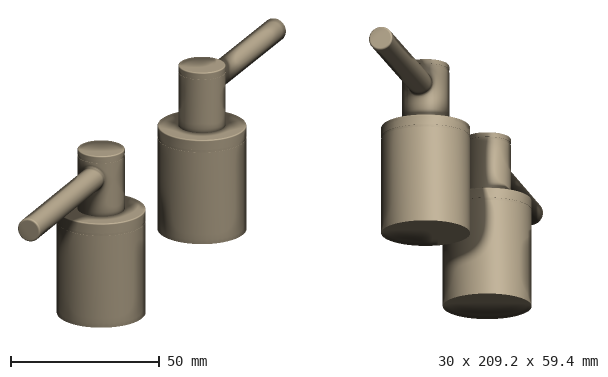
import cadquery as cq

overall_length = 209.2
base_diameter = 30.0
base_height = 37.2
base_seam_height = 32.8
post_diameter = 16.0
handle_height = 58.8
post_seam_drop = 2.5
seam_depth = 0.1
seam_width = 0.8
edge_round = 0.5

lever_diameter = 8.2
lever_axis_height = 50.5
lever_reach = 61.7
lever_tip_round = 0.6
lever_root_fillet = 0.6

axis_offset = overall_length / 2 - lever_reach
rear_lift = 0.6
rear_turn = -0.3


def make_seam(diameter, bottom):
    """Ring that cuts a hairline groove around a cylinder."""
    return (
        cq.Workplane("XY")
        .workplane(offset=bottom)
        .circle(diameter / 2 + seam_depth)
        .circle(diameter / 2 - seam_depth)
        .extrude(seam_width)
    )


def make_base():
    base = cq.Workplane("XY").circle(base_diameter / 2).extrude(base_height)
    base = base.faces(">Z").edges().fillet(edge_round)
    return base.cut(make_seam(base_diameter, base_seam_height))


def make_post():
    post = cq.Workplane("XY").circle(post_diameter / 2).extrude(handle_height)
    post = post.faces(">Z").edges().fillet(edge_round)
    return post.cut(make_seam(post_diameter, handle_height - post_seam_drop))


def make_lever():
    """Round bar from the post axis toward -Y."""
    return (
        cq.Workplane("XZ")
        .center(0, lever_axis_height)
        .circle(lever_diameter / 2)
        .extrude(lever_reach)
        .faces("<Y")
        .edges()
        .fillet(lever_tip_round)
    )


def make_handle(side, turn, lift):
    """One handle; side is -1 at the front and +1 at the rear, turn is in degrees about Z."""
    handle = make_base().union(make_post()).union(make_lever())
    root_zone = cq.selectors.BoxSelector(
        (-lever_diameter, -post_diameter, lever_axis_height - lever_diameter),
        (lever_diameter, -post_diameter / 4, lever_axis_height + lever_diameter / 2 + lever_root_fillet),
    )
    handle = handle.edges(root_zone).fillet(lever_root_fillet)
    return handle.rotate((0, 0, 0), (0, 0, 1), turn).translate((0, side * axis_offset, lift))


handle_placements = [(-1, 0, 0), (1, 180 + rear_turn, rear_lift)]
handles = [make_handle(*placement) for placement in handle_placements]

result = cq.Compound.makeCompound([handle.val() for handle in handles])